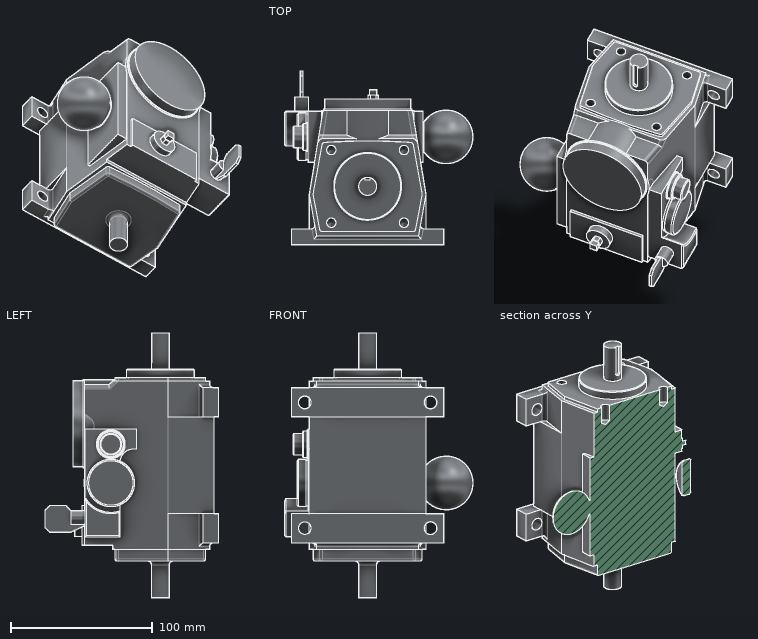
import cadquery as cq
import math


SHAFT_R = 6.35
SHAFT_LENGTH = 187.32
KEYWAY_WIDTH = 3.4
KEYWAY_FLOOR_Y = 4.6
KEYWAY_LENGTH = 20.0
PILOT_R = 24.0
PILOT_TOP_Z = 68.0
PILOT_CHAMFER = 0.6
COVER_TOP_Z = 62.0
COVER_BOTTOM_Z = -67.8
COVER_ROUND = 1.6
COVER_BASE = (33.6, -32.0)
COVER_WAIST = (38.6, -5.5)
COVER_CROWN = (32.0, 31.0)
COVER_PEAK_Y = 32.2
COVER_CORNER_R = 2.0
SCREW_OFFSET = 25.7
SCREW_R = 3.3
SCREW_DEPTH = 12.0
SCREW_TIP = 2.0
COLLAR_LENGTH = 2.6
COLLAR_R = SHAFT_R + COLLAR_LENGTH

BODY_HALF_Z = 59.5
WAIST_X = 41.3
WAIST_Y = -5.5
BASE_X = 36.0
BASE_Y = -35.0
CROWN_X = 31.6
CROWN_Y = 53.5
SHOULDER_Y = 33.7
SHOULDER_RUN = 2.7
CROWN_TOP_Z = 57.0
CROWN_BOTTOM_Z = -56.7
CROWN_ROUND = 3.0
CENTRE_HALF_Z = 34.2
CENTRE_BASE_Y = -38.1
ARCH_Z = 27.8
ARCH_R = 32.7
ARCH_START_Y = 31.5

FOOT_HALF_X = 54.0
FOOT_BASE_Y = -41.27
FOOT_TOP_Y = -30.0
FOOT_END_Z = 55.0
FOOT_FILLET = 2.4
BOLT_OFFSET = 44.45
BOLT_R = 4.4

FLANGE_R = 30.5
FLANGE_SEAT_R = 31.2
FLANGE_SEAT_END_Y = 54.6
FLANGE_Z = 29.4
FLANGE_END_Y = 61.9
PAD_HALF_X = 28.0
PAD_TOP_Z = -28.3
PAD_END_Y = 55.4
PLUG_X = 3.9
PLUG_Z = -41.5
PLUG_BASE_R = 9.0
PLUG_BASE_END_Y = 60.6
PLUG_HEX_FLATS = 6.5
PLUG_HEX_END_Y = 64.6
PLUG_STEM_WIDTH = 5.3
PLUG_END_Y = 68.4

CONTROL_Y = 35.0
CONTROL_Z = -12.5
SIDE_PAD_X = 42.0
SIDE_PAD_TOP_Z = 25.6
SIDE_PAD_NEAR_Y = 17.0
SIDE_PAD_FAR_Y = 53.2
TAB_BOTTOM_Z = 11.5
TAB_ROUND = 9.5
LOCK_X = 58.8
LOCK_NEAR_Y = 28.5
LOCK_BOTTOM_Z = -50.6
LOCK_CLEARANCE_R = 20.8
LOCK_CHAMFER = 0.9
KNOB_R = 16.8
KNOB_X = 49.9
KNOB_CHAMFER = 1.1
KNOB_BACK_X = 43.7
KNOB_NECK_R = 16.2
BUTTON_Z = 14.9
BUTTON_SEAT_R = 10.2
BUTTON_SEAT_X = 42.7
BUTTON_RING_R = 9.5
BUTTON_RING_X = 46.1
BUTTON_R = 7.7
BUTTON_X = 52.8
BUTTON_CHAMFER = 0.7
BALL_R = 19.05
BALL_X = 55.5
LEVER_PAD_X = 39.3
LEVER_SEAT_R = 10.8
LEVER_SEAT_X = 40.0

KEY_X = -46.7
KEY_Z = -36.9
BARREL_R = 4.9
BARREL_ROOT_Y = 51.0
BARREL_END_Y = 63.3
BLADE_THICKNESS = 2.0
BLADE_END_Y = 81.7
BLADE_TOP_Z = -28.4
BLADE_BOTTOM_Z = -47.4
BLADE_CORNER = 3.5
BLADE_NECK_Y = 54.0
BLADE_NECK_Z = -43.0
BLADE_SHOULDER_Y = 66.7

PICK_MARGIN = 1.0


def box(x0, x1, y0, y1, z0, z1):
    """Block between two opposite corners."""
    return cq.Workplane("XY").box(x1 - x0, y1 - y0, z1 - z0, centered=False).translate((x0, y0, z0))


def cylinder_z(radius, z0, z1):
    return cq.Workplane("XY").workplane(offset=z0).circle(radius).extrude(z1 - z0)


def cylinder_y(radius, x, z, y0, y1):
    return cq.Workplane("XZ", origin=(x, y0, z)).circle(radius).extrude(y0 - y1)


def cylinder_x(radius, y, z, x0, x1):
    return cq.Workplane("YZ", origin=(x0, y, z)).circle(radius).extrude(x1 - x0)


def revolve_z(profile):
    """Solid turned about the Z axis from a closed radius-height sketch."""
    return profile.revolve(360, (0, 0, 0), (0, 1, 0))


def mirrored_outline(right_half):
    """Closed outline from its +X half, listed from the bottom upward."""
    left_half = [(-x, y) for x, y in reversed(right_half)]
    return cq.Workplane("XY").polyline(right_half + left_half).close()


def housing():
    """Six-sided barrel, full length up to the shoulder and shorter in the crown above it."""
    outline = [(BASE_X, BASE_Y), (WAIST_X, WAIST_Y), (CROWN_X, CROWN_Y)]
    body = mirrored_outline(outline).extrude(2 * BODY_HALF_Z).translate((0, 0, -BODY_HALF_Z))
    length_profile = [
        (BASE_Y, -BODY_HALF_Z),
        (SHOULDER_Y, -BODY_HALF_Z),
        (SHOULDER_Y, CROWN_BOTTOM_Z),
        (CROWN_Y, CROWN_BOTTOM_Z),
        (CROWN_Y, CROWN_TOP_Z),
        (SHOULDER_Y + SHOULDER_RUN, CROWN_TOP_Z),
        (SHOULDER_Y, BODY_HALF_Z),
        (BASE_Y, BODY_HALF_Z),
    ]
    envelope = cq.Workplane("YZ").polyline(length_profile).close().extrude(WAIST_X, both=True)
    body = body.intersect(envelope)
    crown_edges = cq.selectors.BoxSelector(
        (-WAIST_X, SHOULDER_Y + PICK_MARGIN, CROWN_TOP_Z - PICK_MARGIN),
        (WAIST_X, CROWN_Y - PICK_MARGIN, BODY_HALF_Z - PICK_MARGIN),
    )
    body = body.edges("not |X").edges(crown_edges).fillet(CROWN_ROUND)
    return body.union(cylinder_y(ARCH_R, 0, ARCH_Z, ARCH_START_Y, CROWN_Y))


def add_feet(body):
    """Two cross bars blended into the housing, with the deeper centre section between them."""
    for z0 in (CENTRE_HALF_Z, -FOOT_END_Z):
        z1 = z0 + FOOT_END_Z - CENTRE_HALF_Z
        body = body.union(box(-FOOT_HALF_X, FOOT_HALF_X, FOOT_BASE_Y, FOOT_TOP_Y, z0, z1))
    for end in (-1, 1):
        z_range = sorted((end * (CENTRE_HALF_Z + PICK_MARGIN), end * (FOOT_END_Z + PICK_MARGIN)))
        roots = cq.selectors.BoxSelector(
            (-WAIST_X, BASE_Y - PICK_MARGIN, z_range[0]),
            (WAIST_X, FOOT_TOP_Y + PICK_MARGIN, z_range[1]),
        )
        body = body.edges(roots).fillet(FOOT_FILLET)
    centre = box(-WAIST_X, WAIST_X, CENTRE_BASE_Y, WAIST_Y, -CENTRE_HALF_Z, CENTRE_HALF_Z)
    body = body.union(centre)
    for x in (-BOLT_OFFSET, BOLT_OFFSET):
        for z in (-BOLT_OFFSET, BOLT_OFFSET):
            body = body.cut(cylinder_y(BOLT_R, x, z, FOOT_BASE_Y, FOOT_TOP_Y))
    return body


def cover_blank(z0, z1):
    """Six-sided end cover with a slightly bowed upper edge and rounded corners."""
    base_x, base_y = COVER_BASE
    crown_x, crown_y = COVER_CROWN
    outline = (
        cq.Workplane("XY")
        .workplane(offset=z0)
        .moveTo(-base_x, base_y)
        .lineTo(base_x, base_y)
        .lineTo(*COVER_WAIST)
        .lineTo(crown_x, crown_y)
        .threePointArc((0, COVER_PEAK_Y), (-crown_x, crown_y))
        .lineTo(-COVER_WAIST[0], COVER_WAIST[1])
        .close()
    )
    blank = outline.extrude(z1 - z0)
    return blank.edges("|Z and (not (<X or >X))").fillet(COVER_CORNER_R)


def top_cover():
    """Upper cover with its chamfered pilot boss."""
    cover = cover_blank(BODY_HALF_Z, COVER_TOP_Z)
    pilot = cylinder_z(PILOT_R, BODY_HALF_Z, PILOT_TOP_Z).faces(">Z").chamfer(PILOT_CHAMFER)
    return cover.union(pilot)


def cut_screw_holes(body):
    """Four blind, cone-tipped holes in the upper cover."""
    profile = [
        (0, COVER_TOP_Z),
        (SCREW_R, COVER_TOP_Z),
        (SCREW_R, COVER_TOP_Z - SCREW_DEPTH),
        (0, COVER_TOP_Z - SCREW_DEPTH - SCREW_TIP),
    ]
    hole = revolve_z(cq.Workplane("XZ").polyline(profile).close())
    for x in (-SCREW_OFFSET, SCREW_OFFSET):
        for y in (-SCREW_OFFSET, SCREW_OFFSET):
            body = body.cut(hole.translate((x, y, 0)))
    return body


def bottom_cover():
    """Deep lower cover, rounded at its end, with a concave flare around the shaft."""
    cover = cover_blank(COVER_BOTTOM_Z, -BODY_HALF_Z).faces("<Z").edges().fillet(COVER_ROUND)
    flare_end_z = COVER_BOTTOM_Z - COLLAR_LENGTH
    middle = COLLAR_LENGTH * (1 - math.sqrt(0.5))
    flare_sketch = (
        cq.Workplane("XZ")
        .moveTo(0, COVER_BOTTOM_Z)
        .lineTo(COLLAR_R, COVER_BOTTOM_Z)
        .threePointArc((SHAFT_R + middle, COVER_BOTTOM_Z - middle), (SHAFT_R, flare_end_z))
        .lineTo(0, flare_end_z)
        .close()
    )
    return cover.union(revolve_z(flare_sketch))


def shaft():
    """Through shaft with a round-ended keyway open at the top end."""
    half_length = SHAFT_LENGTH / 2
    keyway_end_z = half_length - KEYWAY_LENGTH
    keyway = box(-KEYWAY_WIDTH / 2, KEYWAY_WIDTH / 2, KEYWAY_FLOOR_Y, SHAFT_R, keyway_end_z, half_length)
    keyway = keyway.union(cylinder_y(KEYWAY_WIDTH / 2, 0, keyway_end_z, KEYWAY_FLOOR_Y, SHAFT_R))
    return cylinder_z(SHAFT_R, -half_length, half_length).cut(keyway)


def rear_parts():
    """Round flange, flat lower pad and hexagonal plug on the +Y side."""
    flange = cylinder_y(FLANGE_R, 0, FLANGE_Z, CROWN_Y, FLANGE_END_Y)
    seat = cylinder_y(FLANGE_SEAT_R, 0, FLANGE_Z, CROWN_Y, FLANGE_SEAT_END_Y)
    pad = box(-PAD_HALF_X, PAD_HALF_X, CONTROL_Y, PAD_END_Y, CROWN_BOTTOM_Z, PAD_TOP_Z)
    plug_base = cylinder_y(PLUG_BASE_R, PLUG_X, PLUG_Z, CONTROL_Y, PLUG_BASE_END_Y)
    hexagon = (
        cq.Workplane("XZ", origin=(PLUG_X, PLUG_BASE_END_Y, PLUG_Z))
        .polygon(6, PLUG_HEX_FLATS / math.cos(math.pi / 6))
        .extrude(PLUG_BASE_END_Y - PLUG_HEX_END_Y)
    )
    stem_x = PLUG_X - PLUG_STEM_WIDTH / 2
    stem_z = PLUG_Z - PLUG_STEM_WIDTH / 2
    stem = box(
        stem_x, stem_x + PLUG_STEM_WIDTH, PLUG_HEX_END_Y, PLUG_END_Y, stem_z, stem_z + PLUG_STEM_WIDTH
    )
    return flange.union(seat).union(pad).union(plug_base).union(hexagon).union(stem)


def control_pad():
    """Mounting pad on the -X side: a tall strip with a tab toward the feet at its upper end."""
    outline = (
        cq.Workplane("YZ", origin=(-SIDE_PAD_X, 0, 0))
        .moveTo(SIDE_PAD_FAR_Y, LOCK_BOTTOM_Z)
        .lineTo(SIDE_PAD_FAR_Y, SIDE_PAD_TOP_Z)
        .lineTo(SIDE_PAD_NEAR_Y, SIDE_PAD_TOP_Z)
        .lineTo(SIDE_PAD_NEAR_Y, TAB_BOTTOM_Z)
        .lineTo(LOCK_NEAR_Y, TAB_BOTTOM_Z)
        .lineTo(LOCK_NEAR_Y, LOCK_BOTTOM_Z)
        .close()
    )
    inner_corner = cq.selectors.BoxSelector(
        (-SIDE_PAD_X, LOCK_NEAR_Y - PICK_MARGIN, TAB_BOTTOM_Z - PICK_MARGIN),
        (0, LOCK_NEAR_Y + PICK_MARGIN, TAB_BOTTOM_Z + PICK_MARGIN),
    )
    return outline.extrude(SIDE_PAD_X).edges(inner_corner).fillet(TAB_ROUND)


def lock_block():
    """Block below the knob, hollowed around the knob axis, with chamfered outer edges."""
    block = box(-LOCK_X, -SIDE_PAD_X, LOCK_NEAR_Y, SIDE_PAD_FAR_Y, LOCK_BOTTOM_Z, CONTROL_Z)
    block = block.cut(cylinder_x(LOCK_CLEARANCE_R, CONTROL_Y, CONTROL_Z, -LOCK_X, -SIDE_PAD_X))
    far_upper_edge = block.faces(">Y").edges(">Z")
    return block.faces("<X").edges().add(far_upper_edge).chamfer(LOCK_CHAMFER)


def knob():
    head = cylinder_x(KNOB_R, CONTROL_Y, CONTROL_Z, -KNOB_X, -KNOB_BACK_X)
    head = head.faces("<X").chamfer(KNOB_CHAMFER)
    return head.union(cylinder_x(KNOB_NECK_R, CONTROL_Y, CONTROL_Z, -KNOB_BACK_X, -SIDE_PAD_X))


def button():
    """Stepped push button above the knob."""
    seat = cylinder_x(BUTTON_SEAT_R, CONTROL_Y, BUTTON_Z, -BUTTON_SEAT_X, -SIDE_PAD_X)
    ring = cylinder_x(BUTTON_RING_R, CONTROL_Y, BUTTON_Z, -BUTTON_RING_X, -BUTTON_SEAT_X)
    cap = cylinder_x(BUTTON_R, CONTROL_Y, BUTTON_Z, -BUTTON_X, -BUTTON_RING_X)
    ring = ring.faces("<X").chamfer(BUTTON_CHAMFER)
    cap = cap.faces("<X").chamfer(BUTTON_CHAMFER)
    return seat.union(ring).union(cap)


def lever_ball():
    """Ball seated on a flat pad on the +X side."""
    pad = box(0, LEVER_PAD_X, SIDE_PAD_NEAR_Y, SIDE_PAD_FAR_Y, LOCK_BOTTOM_Z, SIDE_PAD_TOP_Z)
    seat = cylinder_x(LEVER_SEAT_R, CONTROL_Y, CONTROL_Z, LEVER_PAD_X, LEVER_SEAT_X)
    ball = cq.Workplane("XY").sphere(BALL_R).translate((BALL_X, CONTROL_Y, CONTROL_Z))
    return pad.union(seat).union(ball)


def key():
    """Lock barrel with a thin key blade standing out of it."""
    barrel = cylinder_y(BARREL_R, KEY_X, KEY_Z, BARREL_ROOT_Y, BARREL_END_Y)
    outline = [
        (BLADE_NECK_Y, BLADE_NECK_Z),
        (BARREL_END_Y, BLADE_BOTTOM_Z),
        (BLADE_END_Y - BLADE_CORNER, BLADE_BOTTOM_Z),
        (BLADE_END_Y, BLADE_BOTTOM_Z + BLADE_CORNER),
        (BLADE_END_Y, BLADE_TOP_Z - BLADE_CORNER),
        (BLADE_END_Y - BLADE_CORNER, BLADE_TOP_Z),
        (BLADE_SHOULDER_Y, BLADE_TOP_Z),
        (BARREL_END_Y, KEY_Z + BARREL_R),
        (BLADE_NECK_Y, KEY_Z),
    ]
    blade = cq.Workplane("YZ").polyline(outline).close().extrude(BLADE_THICKNESS / 2, both=True)
    return barrel.union(blade.translate((KEY_X, 0, 0)))


def build():
    part = add_feet(housing())
    additions = (
        top_cover, bottom_cover, rear_parts, control_pad, lock_block, knob, button, lever_ball, key,
    )
    for make in additions:
        part = part.union(make())
    return cut_screw_holes(part).union(shaft())


result = build()